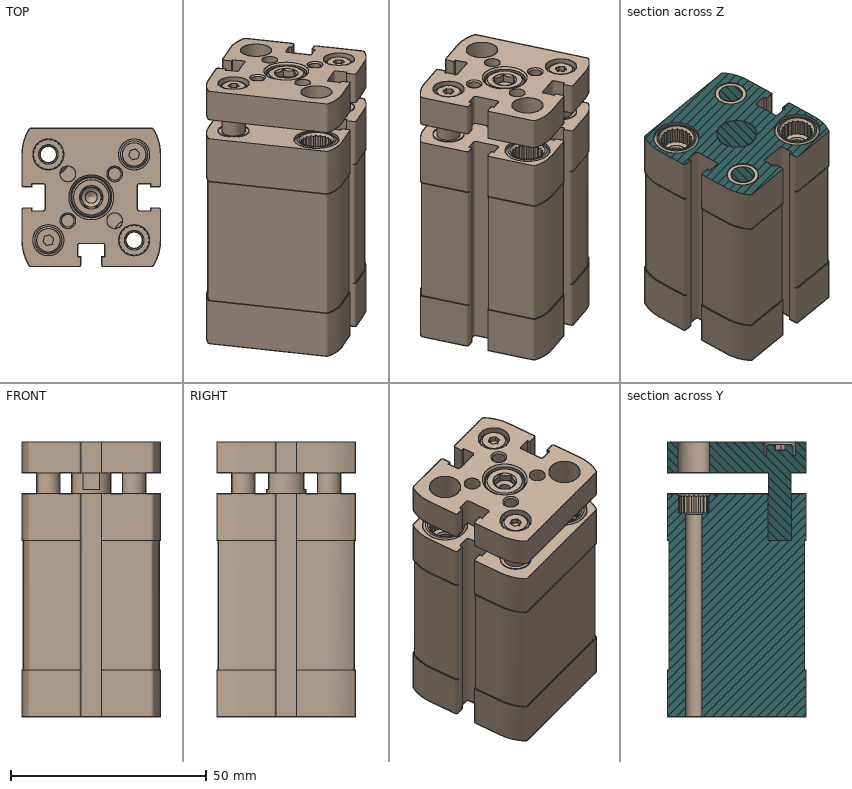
import cadquery as cq
import math

WIDTH = 35.5
TOTAL_HEIGHT = 70.5
PLATE_THICKNESS = 8.0
STROKE_GAP = 5.3
CAP_HEIGHT = 12.0
BARREL_INSET = 0.3
HALF_WIDTH = WIDTH / 2
PLATE_BOTTOM = TOTAL_HEIGHT - PLATE_THICKNESS
HOUSING_TOP = PLATE_BOTTOM - STROKE_GAP

CORNER_RADIUS = 12.0
CORNER_ARC_START = 11.15
CORNER_EDGE_FILLET = 0.85

SLOT_MOUTH_WIDTH = 5.35
SLOT_INNER_WIDTH = 6.9
SLOT_LIP_DEPTH = 2.55
SLOT_DEPTH = 5.9
SLOT_MOUTH_FILLET = 0.5
SLOT_INNER_FILLET = 0.5
SLOT_TURNS = (0, 90, -90)

CORNER_OFFSET = 11.0
SMALL_HOLE_OFFSET = 6.0
RISING_DIAGONAL = [(1, 1), (-1, -1)]
FALLING_DIAGONAL = [(-1, 1), (1, -1)]

ROD_DIAMETER = 10.0
ROD_FLATS = 9.0
ROD_FLAT_LENGTH = 4.2
ROD_CHAMFER = 0.5
ROD_RECESS = 0.55
ROD_SEAT_DIAMETER = 10.5
ROD_SEAT_CHAMFER_DIAMETER = 11.5
ROD_SEAT_DEPTH = 2.5
ROD_SOCKET_ACROSS_FLATS = 5.0
ROD_SOCKET_DEPTH = 2.1
ROD_SOCKET_MOUTH = 6.0
ROD_SOCKET_TURN = 0
ROD_DRILL_HALF_ANGLE = 60
ROD_PILOT_DIAMETER = 3.0
ROD_PILOT_DEPTH = 2.1

GUIDE_DIAMETER = 6.0
SCREW_SEAT_DIAMETER = 8.0
SCREW_SEAT_DEPTH = 3.5
SCREW_RECESS = 0.7
SCREW_HEAD_DIAMETER = 7.0
SCREW_HEAD_CHAMFER = 0.5
SCREW_SOCKET_ACROSS_FLATS = 2.5
SCREW_SOCKET_DEPTH = 1.4
SCREW_SOCKET_TURN = 15

ACCESS_HOLE_DIAMETER = 8.0
PIN_HOLE_DIAMETER = 4.0
THREAD_HOLE_DIAMETER = 3.25

ROD_ENTRY_DEPTH = CAP_HEIGHT
GUIDE_SEAL_DIAMETER = 8.0
GUIDE_SEAL_DEPTH = 0.2
NUT_DIAMETER = 11.5
NUT_FACE_DIAMETER = 10.0
NUT_MOUTH_DIAMETER = 9.0
SERRATION_OUTER_DIAMETER = 8.0
SERRATION_INNER_DIAMETER = 7.5
SERRATION_COUNT = 20
SERRATION_DEPTH = 4.9
THROUGH_MOUTH_DIAMETER = 5.0
THROUGH_HOLE_DIAMETER = 4.15


def on_diagonal(signs, offset):
    """Centres at the same distance from both axes."""
    return [(x * offset, y * offset) for x, y in signs]


def cylinder(diameter, bottom, top, centre=(0, 0)):
    """Vertical cylinder between two heights."""
    return (
        cq.Workplane("XY", origin=(*centre, bottom))
        .circle(diameter / 2)
        .extrude(top - bottom)
    )


def cone(bottom_diameter, top_diameter, top, centre=(0, 0), half_angle=45):
    """Conical frustum whose wider or narrower end lies at the given top height."""
    height = abs(top_diameter - bottom_diameter) / 2 / math.tan(math.radians(half_angle))
    solid = cq.Solid.makeCone(
        bottom_diameter / 2, top_diameter / 2, height, cq.Vector(*centre, top - height)
    )
    return cq.Workplane(obj=solid)


def hexagon(across_flats, bottom, top, turn, centre=(0, 0)):
    """Hexagonal prism turned about its own axis."""
    across_corners = across_flats / math.cos(math.pi / 6)
    return (
        cq.Workplane("XY", origin=(*centre, bottom))
        .transformed(rotate=(0, 0, turn))
        .polygon(6, across_corners)
        .extrude(top - bottom)
    )


def rounded_block(bottom, top, inset=0):
    """Square block whose -X and +X sides end in arcs that run to the -Y and +Y sides."""
    half = HALF_WIDTH - inset
    radius = CORNER_RADIUS - inset
    centre_x = half - radius
    sweep = math.asin((half - CORNER_ARC_START) / radius)
    middle_x = centre_x + radius * math.cos(sweep / 2)
    middle_y = CORNER_ARC_START + radius * math.sin(sweep / 2)
    end_x = centre_x + radius * math.cos(sweep)
    return (
        cq.Workplane("XY", origin=(0, 0, bottom))
        .moveTo(half, -CORNER_ARC_START)
        .lineTo(half, CORNER_ARC_START)
        .threePointArc((middle_x, middle_y), (end_x, half))
        .lineTo(-end_x, half)
        .threePointArc((-middle_x, middle_y), (-half, CORNER_ARC_START))
        .lineTo(-half, -CORNER_ARC_START)
        .threePointArc((-middle_x, -middle_y), (-end_x, -half))
        .lineTo(end_x, -half)
        .threePointArc((middle_x, -middle_y), (half, -CORNER_ARC_START))
        .close()
        .extrude(top - bottom)
        .edges("|Z and (>Y or <Y)")
        .fillet(CORNER_EDGE_FILLET - inset)
    )


def side_slot(bottom, top, side_distance, turn):
    """T-slot cutter with a rounded mouth at the -Y side, turned to its own side."""
    half_mouth = SLOT_MOUTH_WIDTH / 2
    half_inner = SLOT_INNER_WIDTH / 2
    lip_line = -HALF_WIDTH + SLOT_LIP_DEPTH
    floor_line = -HALF_WIDTH + SLOT_DEPTH
    half_flare = half_mouth + SLOT_MOUTH_FILLET
    bend = SLOT_MOUTH_FILLET * (1 - math.sqrt(0.5))
    cutter = (
        cq.Workplane("XY", origin=(0, 0, bottom))
        .moveTo(half_flare, -side_distance)
        .threePointArc(
            (half_mouth + bend, -side_distance + bend),
            (half_mouth, -side_distance + SLOT_MOUTH_FILLET),
        )
        .lineTo(half_mouth, lip_line)
        .lineTo(half_inner, lip_line)
        .lineTo(half_inner, floor_line)
        .lineTo(-half_inner, floor_line)
        .lineTo(-half_inner, lip_line)
        .lineTo(-half_mouth, lip_line)
        .lineTo(-half_mouth, -side_distance + SLOT_MOUTH_FILLET)
        .threePointArc((-half_mouth - bend, -side_distance + bend), (-half_flare, -side_distance))
        .close()
        .extrude(top - bottom)
        .edges("|Z and >Y")
        .fillet(SLOT_INNER_FILLET)
    )
    return cutter.rotate((0, 0, 0), (0, 0, 1), turn)


def slotted_block(bottom, top, inset=0):
    """Block with T-slots on its -Y, +X and -X sides."""
    block = rounded_block(bottom, top, inset)
    for turn in SLOT_TURNS:
        block = block.cut(side_slot(bottom, top, HALF_WIDTH - inset, turn))
    return block


def cut_rod_seat(plate):
    """Chamfered seat at the centre of the plate, with room around the rod end."""
    seat = cylinder(ROD_SEAT_DIAMETER, TOTAL_HEIGHT - ROD_SEAT_DEPTH, TOTAL_HEIGHT)
    mouth = cone(ROD_SEAT_DIAMETER, ROD_SEAT_CHAMFER_DIAMETER, TOTAL_HEIGHT)
    return plate.cut(seat).cut(mouth)


def make_piston_rod():
    """Rod with two wrench flats below the plate and a hexagon socket in its end."""
    rod_top = TOTAL_HEIGHT - ROD_RECESS
    flat_bottom = PLATE_BOTTOM - ROD_FLAT_LENGTH
    rod = cylinder(ROD_DIAMETER, HOUSING_TOP - ROD_ENTRY_DEPTH, rod_top)
    rod = rod.faces(">Z").chamfer(ROD_CHAMFER)
    for side in (-1, 1):
        flat = cq.Workplane("XY").box(ROD_DIAMETER, ROD_DIAMETER, ROD_FLAT_LENGTH, centered=(True, True, False))
        rod = rod.cut(flat.translate((0, side * (ROD_FLATS + ROD_DIAMETER) / 2, flat_bottom)))
    socket_bottom = rod_top - ROD_SOCKET_DEPTH
    rod = rod.cut(hexagon(ROD_SOCKET_ACROSS_FLATS, socket_bottom, rod_top, ROD_SOCKET_TURN))
    rod = rod.cut(cone(0, ROD_SOCKET_ACROSS_FLATS, socket_bottom, half_angle=ROD_DRILL_HALF_ANGLE))
    pilot_bottom = socket_bottom - ROD_PILOT_DEPTH
    rod = rod.cut(cylinder(ROD_PILOT_DIAMETER, pilot_bottom, socket_bottom))
    rod = rod.cut(cone(0, ROD_PILOT_DIAMETER, pilot_bottom, half_angle=ROD_DRILL_HALF_ANGLE))
    return rod.cut(cone(ROD_SOCKET_ACROSS_FLATS, ROD_SOCKET_MOUTH, rod_top))


def add_guide(plate, centre):
    """Guide rod below the plate and its socket screw, recessed in the plate."""
    head_top = TOTAL_HEIGHT - SCREW_RECESS
    seat_bottom = TOTAL_HEIGHT - SCREW_SEAT_DEPTH
    plate = plate.cut(cylinder(SCREW_SEAT_DIAMETER, seat_bottom, TOTAL_HEIGHT, centre))
    guide = cylinder(GUIDE_DIAMETER, HOUSING_TOP - ROD_ENTRY_DEPTH, PLATE_BOTTOM, centre)
    head = cylinder(SCREW_HEAD_DIAMETER, seat_bottom, head_top, centre)
    head = head.faces(">Z").chamfer(SCREW_HEAD_CHAMFER)
    socket = hexagon(
        SCREW_SOCKET_ACROSS_FLATS, head_top - SCREW_SOCKET_DEPTH, head_top, SCREW_SOCKET_TURN, centre
    )
    return plate.union(guide).union(head.cut(socket))


def make_moving_unit():
    """Plate, piston rod and guide rods, which move as one body."""
    plate = slotted_block(PLATE_BOTTOM, TOTAL_HEIGHT)
    for centre in on_diagonal(FALLING_DIAGONAL, CORNER_OFFSET):
        plate = plate.cut(cylinder(ACCESS_HOLE_DIAMETER, PLATE_BOTTOM, TOTAL_HEIGHT, centre))
    for centre in on_diagonal(FALLING_DIAGONAL, SMALL_HOLE_OFFSET):
        plate = plate.cut(cylinder(PIN_HOLE_DIAMETER, PLATE_BOTTOM, TOTAL_HEIGHT, centre))
    for centre in on_diagonal(RISING_DIAGONAL, SMALL_HOLE_OFFSET):
        plate = plate.cut(cylinder(THREAD_HOLE_DIAMETER, PLATE_BOTTOM, TOTAL_HEIGHT, centre))
        plate = plate.cut(cone(THREAD_HOLE_DIAMETER, PIN_HOLE_DIAMETER, TOTAL_HEIGHT, centre))
    plate = cut_rod_seat(plate)
    for centre in on_diagonal(RISING_DIAGONAL, CORNER_OFFSET):
        plate = add_guide(plate, centre)
    plate = plate.cut(cylinder(ROD_SOCKET_MOUTH, PLATE_BOTTOM, TOTAL_HEIGHT))
    return plate.union(make_piston_rod())


def serration_cutter(bottom, top, centre):
    """Prism whose outline is a ring of pointed serrations."""
    points = []
    for index in range(2 * SERRATION_COUNT):
        diameter = SERRATION_INNER_DIAMETER if index % 2 else SERRATION_OUTER_DIAMETER
        angle = math.pi * index / SERRATION_COUNT
        points.append((diameter / 2 * math.cos(angle), diameter / 2 * math.sin(angle)))
    return cq.Workplane("XY", origin=(*centre, bottom)).polyline(points).close().extrude(top - bottom)


def cut_mounting_hole(housing, centre):
    """Through hole below a serrated, chamfered mouth, with a V-groove around its flush rim."""
    groove_depth = (NUT_DIAMETER - NUT_FACE_DIAMETER) / 2
    groove = cylinder(NUT_DIAMETER, HOUSING_TOP - groove_depth, HOUSING_TOP, centre)
    groove = groove.cut(cone(NUT_DIAMETER, NUT_FACE_DIAMETER, HOUSING_TOP, centre))
    serration_bottom = HOUSING_TOP - SERRATION_DEPTH
    for opening in (
        groove,
        cone(SERRATION_INNER_DIAMETER, NUT_MOUTH_DIAMETER, HOUSING_TOP, centre),
        serration_cutter(serration_bottom, HOUSING_TOP, centre),
        cone(THROUGH_HOLE_DIAMETER, THROUGH_MOUTH_DIAMETER, serration_bottom, centre),
        cylinder(THROUGH_HOLE_DIAMETER, 0, serration_bottom, centre),
    ):
        housing = housing.cut(opening)
    return housing


def make_housing():
    """Barrel between two slightly wider caps, with rod bores and through mounting holes."""
    barrel_top = HOUSING_TOP - CAP_HEIGHT
    housing = slotted_block(0, CAP_HEIGHT)
    housing = housing.union(slotted_block(CAP_HEIGHT, barrel_top, BARREL_INSET))
    housing = housing.union(slotted_block(barrel_top, HOUSING_TOP))
    bore_bottom = HOUSING_TOP - ROD_ENTRY_DEPTH
    housing = housing.cut(cylinder(ROD_DIAMETER, bore_bottom, HOUSING_TOP))
    for centre in on_diagonal(RISING_DIAGONAL, CORNER_OFFSET):
        housing = housing.cut(cylinder(GUIDE_DIAMETER, bore_bottom, HOUSING_TOP, centre))
        housing = housing.cut(cylinder(GUIDE_SEAL_DIAMETER, HOUSING_TOP - GUIDE_SEAL_DEPTH, HOUSING_TOP, centre))
    for centre in on_diagonal(FALLING_DIAGONAL, CORNER_OFFSET):
        housing = cut_mounting_hole(housing, centre)
    return housing


housing = make_housing()
moving_unit = make_moving_unit()
result = cq.Compound.makeCompound([housing.val(), moving_unit.val()])